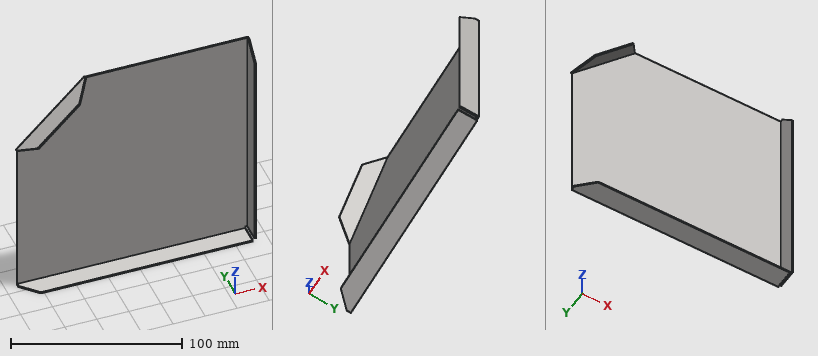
import cadquery as cq
import math

size = 145.2
depth = 13.0
sheet = 1.0
corner_relief = 2.0
edge_flange_land = 2.9

overhang = 0.5
clip = 43.0
clip_length = clip * math.sqrt(2)
panel_left = overhang
panel_top = size - overhang


def make_panel():
    """Panel on the back of the part, extruded from y = 0 towards -Y."""
    return (
        cq.Workplane("XZ")
        .moveTo(panel_left, 0)
        .lineTo(size - corner_relief, 0)
        .lineTo(size - corner_relief, corner_relief)
        .lineTo(size, corner_relief)
        .lineTo(size, panel_top)
        .lineTo(panel_left + clip, panel_top)
        .lineTo(panel_left, panel_top - clip)
        .close()
        .extrude(sheet)
    )


def make_bottom_flange():
    """Bottom flange with its left end mitered at 45 degrees."""
    miter = depth - edge_flange_land
    return (
        cq.Workplane("XY")
        .moveTo(panel_left, 0)
        .lineTo(panel_left, -edge_flange_land)
        .lineTo(panel_left + miter, -depth)
        .lineTo(size - corner_relief, -depth)
        .lineTo(size - corner_relief, 0)
        .close()
        .extrude(sheet)
    )


def make_right_flange():
    """Right flange: the bottom flange mirrored across the panel diagonal x + z = size."""
    diagonal_axis = cq.Vector(1, 0, 1)
    return make_bottom_flange().mirror(diagonal_axis, (size, 0, 0))


def make_diagonal_flange():
    """Flange along the clipped corner, with both ends mitered at 45 degrees."""
    miter = depth - sheet
    direction = cq.Vector(1, 0, 1)
    outward = cq.Vector(-1, 0, 1)
    inset = sheet / math.sqrt(2) - overhang
    start = cq.Vector(panel_left + inset, 0, panel_top - clip - inset)
    plane = cq.Plane(origin=start, xDir=direction, normal=outward)
    return (
        cq.Workplane(plane)
        .moveTo(0, 0)
        .lineTo(0, -sheet)
        .lineTo(miter, -depth)
        .lineTo(clip_length - miter, -depth)
        .lineTo(clip_length, -sheet)
        .lineTo(clip_length, 0)
        .close()
        .extrude(sheet)
    )


result = (
    make_panel()
    .union(make_bottom_flange())
    .union(make_right_flange())
    .union(make_diagonal_flange())
)